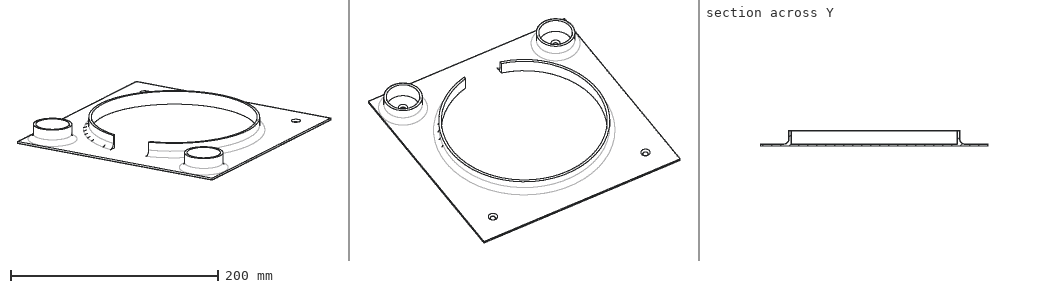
import cadquery as cq

plate_side = 220.0
plate_thickness = 2.0

wall_thickness = 2.5
foot_radius = 5.0

ring_inner_diameter = 160.3
ring_top_z = 15.0
ring_gap_width = 40.0

cup_inner_diameter = 32.3
cup_top_z = 17.0

screw_offset = 85.5
screw_head_diameter = 9.0
screw_exit_diameter = 5.0


def filleted_tube(inner_diameter, top_z):
    """Tube standing on the plate, with a concave fillet round its outer foot."""
    inner_radius = inner_diameter / 2
    outer_radius = inner_radius + wall_thickness
    foot_top_z = plate_thickness + foot_radius
    foot_outer_radius = outer_radius + foot_radius
    root_z = plate_thickness / 2
    fillet_centre = (foot_outer_radius, foot_top_z)
    diagonal = foot_radius / 2**0.5
    fillet_middle = (fillet_centre[0] - diagonal, fillet_centre[1] - diagonal)
    return (
        cq.Workplane("XZ")
        .moveTo(inner_radius, root_z)
        .lineTo(inner_radius, top_z)
        .lineTo(outer_radius, top_z)
        .lineTo(outer_radius, foot_top_z)
        .threePointArc(fillet_middle, (foot_outer_radius, plate_thickness))
        .lineTo(foot_outer_radius, root_z)
        .close()
        .revolve(360, (0, 0, 0), (0, 1, 0))
    )


def open_ring():
    """Large ring with a parallel-sided gap through its front (-Y) side."""
    gap_length = plate_side / 2
    gap = cq.Workplane("XY").box(
        ring_gap_width, gap_length, ring_top_z, centered=(True, False, False)
    )
    return filleted_tube(ring_inner_diameter, ring_top_z).cut(gap.translate((0, -gap_length, 0)))


def base_plate():
    """Square plate with four conical screw holes."""
    screw_points = [(x, y) for x in (-screw_offset, screw_offset) for y in (-screw_offset, screw_offset)]
    countersink = cq.Solid.makeCone(screw_exit_diameter / 2, screw_head_diameter / 2, plate_thickness)
    countersinks = cq.Workplane("XY").pushPoints(screw_points).eachpoint(countersink)
    return (
        cq.Workplane("XY")
        .box(plate_side, plate_side, plate_thickness, centered=(True, True, False))
        .cut(countersinks)
    )


result = base_plate().union(open_ring())
for cup_x in (-screw_offset, screw_offset):
    cup = filleted_tube(cup_inner_diameter, cup_top_z)
    result = result.union(cup.translate((cup_x, -screw_offset, 0)))